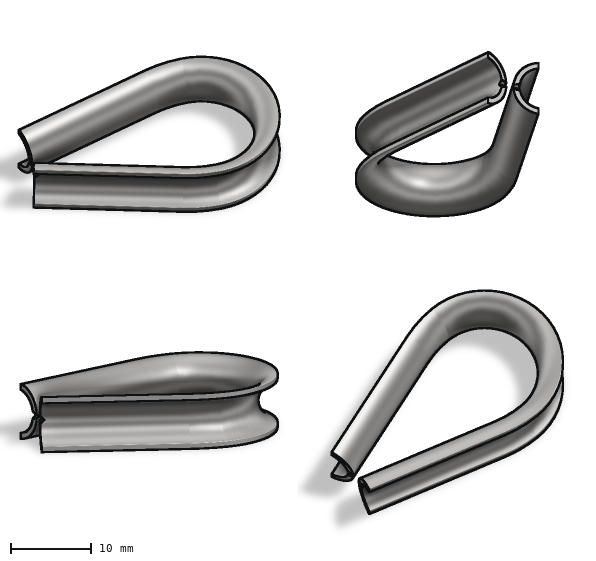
import cadquery as cq
import math

WIDTH = 19.4
LENGTH = 32.15

CHANNEL_DEPTH = 3.15
WALL = 0.77
SHELL_RADIUS = 3.57
RIM_ROUND = 0.13

LEG_ANGLE = 17.25
SHOULDER_RADIUS = 16.07

NOTCH_DEPTH = 1.2

HEAD_RADIUS = WIDTH / 2
HEAD_BOTTOM = HEAD_RADIUS - LENGTH
GROOVE_RADIUS = SHELL_RADIUS - WALL
SHOULDER_CENTER_X = HEAD_RADIUS - SHOULDER_RADIUS

inner_crest_x = HEAD_RADIUS - CHANNEL_DEPTH
rim_to_arc_center = SHELL_RADIUS - CHANNEL_DEPTH
shell_z = math.sqrt(SHELL_RADIUS**2 - rim_to_arc_center**2)
groove_z = math.sqrt(GROOVE_RADIUS**2 - rim_to_arc_center**2)

leg_slope = math.radians(LEG_ANGLE)
shoulder_end_y = -SHOULDER_RADIUS * math.sin(leg_slope)
leg_length = (shoulder_end_y - HEAD_BOTTOM) / math.cos(leg_slope)


def channel_section():
    """C-shaped section in the XZ plane, its open side at the +X rim and the rim corners rounded."""
    shell_top = (HEAD_RADIUS, shell_z)
    shell_bottom = (HEAD_RADIUS, -shell_z)
    groove_top = (HEAD_RADIUS, groove_z)
    groove_bottom = (HEAD_RADIUS, -groove_z)
    profile = (
        cq.Sketch()
        .arc(shell_top, (inner_crest_x, 0), shell_bottom)
        .segment(groove_bottom)
        .arc(groove_bottom, (inner_crest_x + WALL, 0), groove_top)
        .segment(groove_top, shell_top)
        .assemble()
        .vertices(">X")
        .fillet(RIM_ROUND)
    )
    return cq.Workplane("XZ").placeSketch(profile)


def head():
    """Half ring on the +Y side of the origin."""
    return channel_section().revolve(180, (0, 0, 0), (0, 1, 0))


def shoulder():
    """Flatter arc that turns the head's +X end towards the leg."""
    return channel_section().revolve(LEG_ANGLE, (SHOULDER_CENTER_X, 0, 0), (SHOULDER_CENTER_X, -1, 0))


def leg():
    """Straight channel that leaves the shoulder tangentially."""
    straight = channel_section().extrude(leg_length)
    pivot = (SHOULDER_CENTER_X, 0, 0)
    return straight.rotate(pivot, (SHOULDER_CENTER_X, 0, 1), -LEG_ANGLE)


def end_notch():
    """Right-angled vee running along X, with its apex line on the mid-plane."""
    return (
        cq.Workplane("YZ")
        .moveTo(HEAD_BOTTOM + NOTCH_DEPTH, 0)
        .lineTo(HEAD_BOTTOM, NOTCH_DEPTH)
        .lineTo(HEAD_BOTTOM, -NOTCH_DEPTH)
        .close()
        .extrude(HEAD_RADIUS, both=True)
    )


side = shoulder().union(leg())
result = head().union(side).union(side.mirror("YZ")).cut(end_notch())